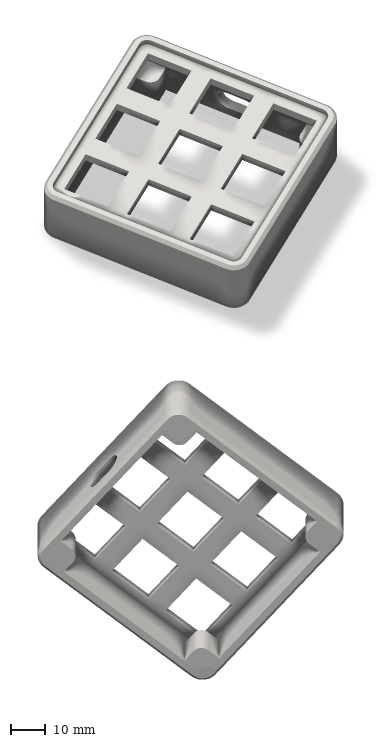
import cadquery as cq

side = 65.0
height = 20.0
corner_radius = 5.0
edge_chamfer = 1.0

rim_width = 2.5
recess_depth = 2.0
recess_corner_radius = corner_radius - rim_width

keys_per_side = 3
key_pitch = 20.0
window_size = 13.85
plate_thickness = 3.0

wall = 3.0
cavity_side = side - 2 * wall
plate_top = height - recess_depth
plate_bottom = plate_top - plate_thickness

post_size = 7.0
post_radius = 3.0
post_height = 10.7

opening_width = 12.0
opening_height = 7.0
opening_centre_z = 6.7


def square_block(size, bottom, top):
    return cq.Workplane("XY").workplane(offset=bottom).rect(size, size).extrude(top - bottom)


def make_body():
    body = square_block(side, 0, height).edges("|Z").fillet(corner_radius)
    return body.faces("<Z or >Z").chamfer(edge_chamfer)


def make_recess():
    recess = square_block(side - 2 * rim_width, plate_top, height)
    return recess.edges("|Z").fillet(recess_corner_radius)


def make_windows():
    return (
        cq.Workplane("XY")
        .workplane(offset=plate_bottom)
        .rarray(key_pitch, key_pitch, keys_per_side, keys_per_side)
        .rect(window_size, window_size)
        .extrude(plate_thickness)
    )


def make_post(x_sign, y_sign):
    """Square post in a cavity corner, rounded on its one free vertical edge."""
    offset = (cavity_side - post_size) / 2
    post = cq.Workplane("XY").rect(post_size, post_size).extrude(post_height)
    free_edge = cq.NearestToPointSelector((-x_sign * post_size, -y_sign * post_size, post_height / 2))
    post = post.edges("|Z").edges(free_edge).fillet(post_radius)
    return post.translate((x_sign * offset, y_sign * offset, 0))


def make_cable_opening():
    return (
        cq.Workplane("XZ", origin=(0, side / 2, opening_centre_z))
        .slot2D(opening_width, opening_height)
        .extrude(wall)
    )


result = make_body().cut(make_recess())
result = result.cut(square_block(cavity_side, 0, plate_bottom))
result = result.cut(make_windows())
result = result.cut(make_cable_opening())
for x_sign in (-1, 1):
    for y_sign in (-1, 1):
        result = result.union(make_post(x_sign, y_sign))